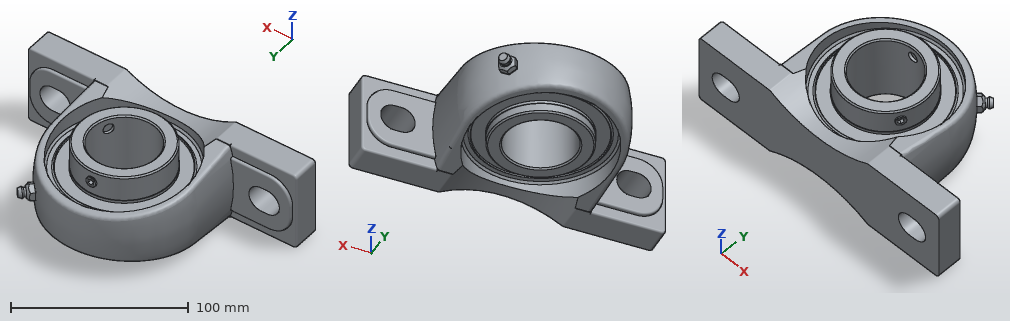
import cadquery as cq
import math

plate_length = 188
plate_width = 53.8
plate_height = 18.0
plate_corner_radius = 2.6
plate_edge_radius = 1.3
waist_length = 76.7
waist_depth = 10.2
waist_edge_radius = 2.3

pad_reach = 91.2
pad_width = 39.1
pad_height = 2.3
pad_corner_radius = 15.5
pad_edge_radius = 1.1
slot_offset = 73.0
slot_length = 21.2
slot_width = 17.3

axis_height = 54.0
housing_radius = 51.5
housing_bulge_radius = 90.2
housing_foot_half_width = 26.5
housing_taper = 0.132
housing_edge_radius = 2.6

outer_ring_diameter = 87.5
outer_ring_bore = 81.8
outer_ring_half_width = 11.3
mouth_diameter = 90.0
inner_ring_bore = 44.4
inner_ring_land_diameter = 62.5
inner_ring_collar_diameter = 61.7
inner_ring_land_top = 13.2
inner_ring_top = 30
inner_ring_bottom = -19.0
inner_ring_chamfer = 1.0
seal_thickness = 1.9
seal_bead_height = 0.8
seal_bead_crest_diameter = 79.7
seal_plate_diameter = 78.8

screw_diameter = 6.8
screw_height = 22.2
screw_angles = (90, -30)
screw_inner_end = 24.0
screw_outer_end = 31.8
socket_corner_diameter = 4.1
socket_depth = 2.6

nipple_angle = 45
stem_start = 46.2
stem_diameter = 6.0
hex_start = 50.8
hex_corner_radius = 5.6
hex_end = 56.0
shoulder_radius = 3.5
neck_radius = 2.8
neck_end = 57.3
head_radius = 3.5
head_middle = 58.5
head_tip_radius = 2.6
nipple_tip = 60.7


def on_bearing_axis(body):
    return body.translate((0, axis_height, 0))


def point_outward(body, angle, height):
    """Turns a body built along +Z to point radially from the bearing axis."""
    radial = body.rotate((0, 0, 0), (0, 1, 0), 90).rotate((0, 0, 0), (0, 0, 1), angle)
    return on_bearing_axis(radial.translate((0, 0, height)))


def revolved(outline):
    """Revolves an (r, z) outline about Z."""
    return cq.Workplane("XZ").polyline(outline).close().revolve(360, (0, 0), (0, 1))


def waist_cutters():
    """Two cylinders along Y that scoop the broad faces between the feet."""
    radius = (waist_length**2 / 4 + waist_depth**2) / (2 * waist_depth)
    centre = plate_width / 2 - waist_depth + radius
    return (
        cq.Workplane("XZ")
        .pushPoints([(0, centre), (0, -centre)])
        .circle(radius)
        .extrude(-2 * axis_height)
    )


def barrel_edge_radius():
    """Radius of the barrel-sided housing at the full width of the plate."""
    sag = housing_bulge_radius - math.sqrt(housing_bulge_radius**2 - plate_width**2 / 4)
    return housing_radius - sag


def make_legs():
    """Barrel-sided block from the mounting face up to the bearing axis."""
    reach = plate_width / 2
    edge_radius = barrel_edge_radius()
    return (
        cq.Workplane("XZ")
        .moveTo(-edge_radius, -reach)
        .lineTo(edge_radius, -reach)
        .threePointArc((housing_radius, 0), (edge_radius, reach))
        .lineTo(-edge_radius, reach)
        .threePointArc((-housing_radius, 0), (-edge_radius, -reach))
        .close()
        .extrude(-axis_height)
    )


def make_sharp_plate():
    """Plate with rounded corners and waist, its upper rim still sharp."""
    plate = cq.Workplane("XZ").rect(plate_length, plate_width).extrude(-plate_height)
    plate = plate.edges("|Y").fillet(plate_corner_radius).cut(waist_cutters())
    waist_box = cq.selectors.BoxSelector(
        (-waist_length, -1.9, -plate_width), (waist_length, plate_height, plate_width)
    )
    waist_ends = plate.edges("|Y").edges(waist_box)
    return waist_ends.fillet(waist_edge_radius)


def make_plate():
    """Plate with a rounded upper rim, left sharp where the legs stand on it."""
    sharp_plate = make_sharp_plate()
    rounded_plate = sharp_plate.faces(">Y").edges().fillet(plate_edge_radius)
    return rounded_plate.union(sharp_plate.intersect(make_legs()))


def make_pads():
    length = 2 * pad_reach
    pads = (
        cq.Workplane("XZ", origin=(0, plate_height, 0))
        .rect(length, pad_width)
        .extrude(-pad_height)
        .edges("|Y")
        .fillet(pad_corner_radius)
        .faces(">Y")
        .edges()
        .fillet(pad_edge_radius)
    )
    return pads


def make_housing_shell():
    """Barrel-sided arch, thinning from foot to crown."""
    reach = plate_width / 2
    edge_radius = barrel_edge_radius()
    crown = (
        cq.Workplane("XZ")
        .moveTo(0, -reach)
        .lineTo(edge_radius, -reach)
        .threePointArc((housing_radius, 0), (edge_radius, reach))
        .lineTo(0, reach)
        .close()
        .revolve(360, (0, 0), (0, 1))
        .translate((0, axis_height, 0))
    )
    top = axis_height + housing_radius + 1.9
    crown_half_width = housing_foot_half_width - housing_taper * (top - plate_height)
    wedge = (
        cq.Workplane("YZ")
        .polyline([
            (plate_height, housing_foot_half_width),
            (top, crown_half_width),
            (top, -crown_half_width),
            (plate_height, -housing_foot_half_width),
        ])
        .close()
        .extrude(housing_radius + 1.9, both=True)
    )
    shell = crown.union(make_legs()).intersect(wedge)
    shell = shell.faces("<Z or >Z").edges("not <Y").fillet(housing_edge_radius)
    return shell


def make_nipple():
    outline = [
        (0, hex_start),
        (hex_corner_radius, hex_start),
        (hex_corner_radius, hex_end + shoulder_radius - hex_corner_radius),
        (shoulder_radius, hex_end),
        (neck_radius, hex_end),
        (neck_radius, neck_end),
        (head_radius, head_middle),
        (head_tip_radius, nipple_tip),
        (0, nipple_tip),
    ]
    hexagon = (
        cq.Workplane("XY", origin=(0, 0, hex_start))
        .polygon(6, 2 * hex_corner_radius)
        .extrude(nipple_tip)
    )
    stem = (
        cq.Workplane("XY", origin=(0, 0, stem_start))
        .circle(stem_diameter / 2)
        .extrude(hex_start - stem_start)
    )
    nipple = revolved(outline).intersect(hexagon).union(stem)
    return point_outward(nipple, nipple_angle, 0)


def make_bore_cutter():
    """Seat of the outer ring, opening at 45 degrees into a wider mouth on each side."""
    seat = outer_ring_diameter / 2
    mouth = mouth_diameter / 2
    seat_end = outer_ring_half_width
    mouth_start = seat_end + mouth - seat
    cutter = revolved([
        (0, -plate_width),
        (mouth, -plate_width),
        (mouth, -mouth_start),
        (seat, -seat_end),
        (seat, seat_end),
        (mouth, mouth_start),
        (mouth, plate_width),
        (0, plate_width),
    ])
    return on_bearing_axis(cutter)


def make_housing(nipple):
    housing = make_plate().union(make_pads()).union(make_housing_shell().cut(waist_cutters()))
    housing = housing.cut(
        cq.Workplane("XZ")
        .pushPoints([(-slot_offset, 0), (slot_offset, 0)])
        .slot2D(slot_length, slot_width)
        .extrude(-axis_height)
    )
    return housing.cut(make_bore_cutter()).cut(nipple)


def make_outer_ring():
    ring = (
        cq.Workplane("XY")
        .circle(outer_ring_diameter / 2)
        .circle(outer_ring_bore / 2)
        .extrude(outer_ring_half_width, both=True)
    )
    return on_bearing_axis(ring)


def make_inner_ring():
    bore = inner_ring_bore / 2
    land = inner_ring_land_diameter / 2
    collar = inner_ring_collar_diameter / 2
    c = inner_ring_chamfer
    ring = revolved([
        (bore, inner_ring_bottom + c),
        (bore + c, inner_ring_bottom),
        (collar - c, inner_ring_bottom),
        (collar, inner_ring_bottom + c),
        (collar, -inner_ring_land_top),
        (land, -inner_ring_land_top),
        (land, inner_ring_land_top),
        (collar, inner_ring_land_top),
        (collar, inner_ring_top - c),
        (collar - c, inner_ring_top),
        (bore + c, inner_ring_top),
        (bore, inner_ring_top - c),
    ])
    ring = on_bearing_axis(ring)
    for angle in screw_angles:
        hole = cq.Workplane("XY").circle(screw_diameter / 2).extrude(axis_height)
        ring = ring.cut(point_outward(hole, angle, screw_height))
    return ring


def make_seal(side):
    """Flat ring in one end of the bearing, with a raised bead along its rim."""
    rim = outer_ring_bore / 2
    crest = seal_bead_crest_diameter / 2
    plate = seal_plate_diameter / 2
    inner = inner_ring_land_diameter / 2
    outer_face = outer_ring_half_width
    inner_face = outer_face - seal_thickness
    outline = [
        (inner, inner_face),
        (rim, inner_face),
        (rim, outer_face),
        (crest, outer_face + seal_bead_height),
        (plate, outer_face),
        (inner, outer_face),
    ]
    return on_bearing_axis(revolved([(r, side * z) for r, z in outline]))


def make_screw(angle):
    screw = (
        cq.Workplane("XY", origin=(0, 0, screw_inner_end))
        .circle(screw_diameter / 2)
        .extrude(screw_outer_end - screw_inner_end)
        .faces(">Z")
        .workplane()
        .polygon(6, socket_corner_diameter)
        .cutBlind(-socket_depth)
    )
    return point_outward(screw, angle, screw_height)


grease_nipple = make_nipple()
housing = make_housing(grease_nipple)
outer_ring = make_outer_ring()
set_screws = [make_screw(angle) for angle in screw_angles]
inner_ring = make_inner_ring()
seals = [make_seal(side) for side in (1, -1)]

bodies = [housing, outer_ring, inner_ring, *seals, *set_screws, grease_nipple]
result = cq.Compound.makeCompound([body.val() for body in bodies])